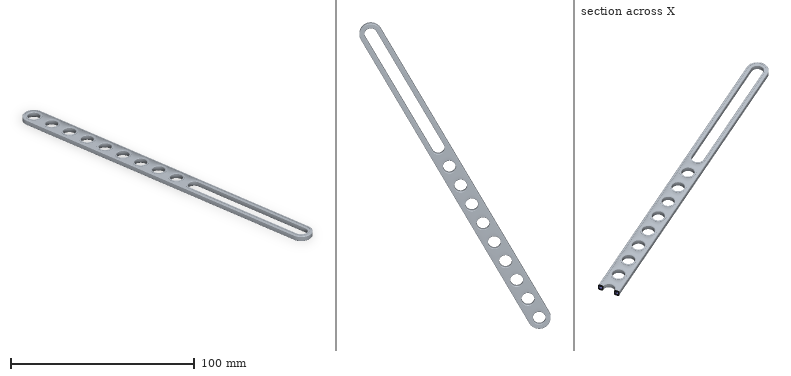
import cadquery as cq

pitch = 12.5
length_in_pitches = 16
round_holes = 9
slot_in_pitches = 6
hole_diameter = 7.0
edge_chamfer = 0.3
land_width = 1.1
recess_depth = 0.2

thickness = pitch / 4
width = pitch
first_x = -(length_in_pitches - 1) * pitch / 2
last_x = -first_x
slot_start_x = last_x - slot_in_pitches * pitch
collar_diameter = hole_diameter + 2 * land_width
recess_width = width - 2 * land_width
top_z = thickness / 2

hole_centres = [first_x + i * pitch for i in range(round_holes)]
openings = [(x, x) for x in hole_centres] + [(slot_start_x, last_x)]


def round_ended_bar(start_x, end_x, bar_width, bottom_z, height):
    """Bar along X with round ends centred on start_x and end_x; a cylinder if they coincide."""
    base = cq.Workplane("XY", origin=((start_x + end_x) / 2, 0, bottom_z))
    if start_x == end_x:
        return base.circle(bar_width / 2).extrude(height)
    return base.slot2D(end_x - start_x + bar_width, bar_width).extrude(height)


def chamfered_strap():
    """Strap with its openings cut through and every top and bottom edge chamfered."""
    strap = round_ended_bar(first_x, last_x, width, -top_z, thickness)
    for start_x, end_x in openings:
        strap = strap.cut(round_ended_bar(start_x, end_x, hole_diameter, -top_z, thickness))
    return strap.faces(">Z or <Z").chamfer(edge_chamfer)


def top_recess():
    """Shallow pocket between the outer land and the collars around the openings."""
    floor_z = top_z - recess_depth
    recess = round_ended_bar(first_x, last_x, recess_width, floor_z, recess_depth)
    for start_x, end_x in openings:
        recess = recess.cut(round_ended_bar(start_x, end_x, collar_diameter, floor_z, recess_depth))
    return recess


result = chamfered_strap().cut(top_recess())